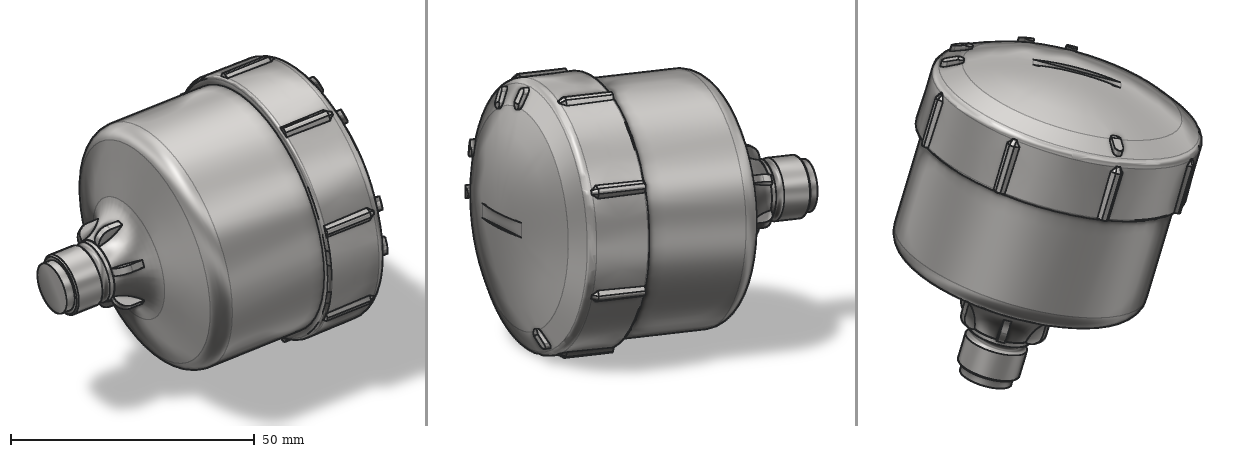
import cadquery as cq
import math

total_length = 69.75

tip_radius = 11.0 / 2
tip_length = 1.95
neck_radius = 13.2 / 2
neck_chamfer = 0.35
groove_start = 8.1
groove_end = 9.9
groove_depth = 0.8
collar_end = 10.95

body_radius = 53.9 / 2
funnel_angle = math.radians(20)
shoulder_start = 26.5
shoulder_radius = 4.0
flare_radius = 10.3

cap_radius = 57.75 / 2
cap_top_radius = 28.7
cap_bottom = 49.0
cap_bottom_fillet = 0.6
cap_wall_top = 61.2
cap_edge_fillet = 1.9
dome_radius = 46.8 / 2
cap_bevel_angle = math.radians(27.5)

slot_width = 3.1
slot_depth = 0.7

rib_count = 8
rib_bottom = 49.45
rib_shoulder = 60.1
rib_top = 61.4
rib_base_width = 2.8
rib_crest_width = 1.1
rib_crest_radius = 29.6
rib_crown = 0.15
rib_end_radius = 28.8
rib_end_width = 0.85
rib_root_radius = 27.9

fin_count = 6
fin_width = 1.6
fin_radius = 10.0
fin_top = 17.45
fin_corner_radius = 2.9
fin_root_radius = 4.9

pointer_angles = (0, 22.5, 67.5, 90, 247.5)
pointer_width = 2.1
pointer_inner_radius = 23.0
pointer_bend_radius = 24.35
pointer_outer_radius = 27.4
pointer_top = 65.75
pointer_bottom = 62.4
pointer_end_drop = 1.45


def around_axis(solid, angle):
    """Turn a solid lying along +X about the Y axis, from +X towards +Z."""
    return solid.rotate((0, 0, 0), (0, 1, 0), -angle)


def turned_body():
    sin_funnel = math.sin(funnel_angle)
    cos_funnel = math.cos(funnel_angle)

    shoulder_x = body_radius - shoulder_radius
    shoulder_mid = (math.pi / 2 - funnel_angle) / 2
    shoulder_mid_point = (
        shoulder_x + shoulder_radius * math.cos(shoulder_mid),
        shoulder_start - shoulder_radius * math.sin(shoulder_mid),
    )
    shoulder_end_point = (
        shoulder_x + shoulder_radius * sin_funnel,
        shoulder_start - shoulder_radius * cos_funnel,
    )

    flare_x = neck_radius + flare_radius
    flare_top_x = flare_x - flare_radius * sin_funnel
    flare_top_y = shoulder_end_point[1] - (shoulder_end_point[0] - flare_top_x) * math.tan(funnel_angle)
    flare_y = flare_top_y - flare_radius * cos_funnel
    flare_bottom_angle = math.asin((collar_end - flare_y) / flare_radius)
    flare_mid = (flare_bottom_angle + math.pi / 2 - funnel_angle) / 2
    flare_mid_point = (
        flare_x - flare_radius * math.cos(flare_mid),
        flare_y + flare_radius * math.sin(flare_mid),
    )
    flare_bottom_x = flare_x - flare_radius * math.cos(flare_bottom_angle)

    edge_cut = cap_bottom_fillet * (1 - math.sqrt(0.5))
    cap_bottom_mid = (cap_radius - edge_cut, cap_bottom + edge_cut)

    edge_x = cap_top_radius - cap_edge_fillet
    edge_mid = (math.pi / 2 - cap_bevel_angle) / 2
    edge_mid_point = (
        edge_x + cap_edge_fillet * math.cos(edge_mid),
        cap_wall_top + cap_edge_fillet * math.sin(edge_mid),
    )
    bevel_start = (
        edge_x + cap_edge_fillet * math.sin(cap_bevel_angle),
        cap_wall_top + cap_edge_fillet * math.cos(cap_bevel_angle),
    )
    dome_base = bevel_start[1] + (bevel_start[0] - dome_radius) * math.tan(cap_bevel_angle)

    slot_rim = slot_width / 2
    rim_height = total_length - dome_base
    dome_centre_y = (total_length + dome_base) / 2 - (dome_radius**2 - slot_rim**2) / (2 * rim_height)
    sphere_radius = math.hypot(dome_radius, dome_base - dome_centre_y)
    dome_mid_x = dome_radius / 2
    dome_mid_y = dome_centre_y + math.sqrt(sphere_radius**2 - dome_mid_x**2)
    dome_apex = dome_centre_y + sphere_radius

    groove_middle = (groove_start + groove_end) / 2
    profile = (
        cq.Workplane("XY")
        .moveTo(0, 0)
        .lineTo(tip_radius, 0)
        .lineTo(tip_radius, tip_length)
        .lineTo(neck_radius - neck_chamfer, tip_length)
        .lineTo(neck_radius, tip_length + neck_chamfer)
        .lineTo(neck_radius, groove_start)
        .threePointArc((neck_radius - groove_depth, groove_middle), (neck_radius, groove_end))
        .lineTo(neck_radius, collar_end)
        .lineTo(flare_bottom_x, collar_end)
        .threePointArc(flare_mid_point, (flare_top_x, flare_top_y))
        .lineTo(*shoulder_end_point)
        .threePointArc(shoulder_mid_point, (body_radius, shoulder_start))
        .lineTo(body_radius, cap_bottom)
        .lineTo(cap_radius - cap_bottom_fillet, cap_bottom)
        .threePointArc(cap_bottom_mid, (cap_radius, cap_bottom + cap_bottom_fillet))
        .lineTo(cap_top_radius, cap_wall_top)
        .threePointArc(edge_mid_point, bevel_start)
        .lineTo(dome_radius, dome_base)
        .threePointArc((dome_mid_x, dome_mid_y), (0, dome_apex))
        .close()
    )
    return profile.revolve(360, (0, 0), (0, 1))


def coin_slot():
    return (
        cq.Workplane("XY")
        .box(2 * dome_radius, 2 * slot_depth, slot_width)
        .translate((0, total_length, 0))
    )


def rib_section(plane, base_width, crest_width, base_radius, crest_radius):
    """Trapezoid with a crowned crest, pointing along +X."""
    half_base = base_width / 2
    half_crest = crest_width / 2
    return (
        plane.moveTo(rib_root_radius, -half_base)
        .lineTo(base_radius, -half_base)
        .lineTo(crest_radius, -half_crest)
        .threePointArc((crest_radius + rib_crown, 0), (crest_radius, half_crest))
        .lineTo(base_radius, half_base)
        .lineTo(rib_root_radius, half_base)
        .close()
    )


def grip_rib():
    full = (rib_base_width, rib_crest_width, cap_top_radius, rib_crest_radius)
    end_base_radius = (rib_root_radius + rib_end_radius) / 2
    end = (rib_crest_width, rib_end_width, end_base_radius, rib_end_radius)
    bar_plane = cq.Workplane("XZ", origin=(0, rib_bottom, 0))
    bar = rib_section(bar_plane, *full).extrude(rib_bottom - rib_shoulder)
    end_plane = cq.Workplane("XZ", origin=(0, rib_shoulder, 0))
    tapered = rib_section(end_plane, *full).workplane(offset=rib_shoulder - rib_top)
    return bar.union(rib_section(tapered, *end).loft(ruled=True))


def fin():
    corner_x = fin_radius - fin_corner_radius
    corner_y = collar_end + fin_corner_radius
    corner_reach = fin_corner_radius * math.sqrt(0.5)
    return (
        cq.Workplane("XY")
        .moveTo(fin_root_radius, collar_end)
        .lineTo(corner_x, collar_end)
        .threePointArc((corner_x + corner_reach, corner_y - corner_reach), (fin_radius, corner_y))
        .lineTo(fin_radius, fin_top)
        .lineTo(fin_root_radius, fin_top)
        .close()
        .extrude(fin_width / 2, both=True)
    )


def pointer():
    """Radial bar with a sloped top and round ends."""
    side = (
        cq.Workplane("XY")
        .moveTo(pointer_inner_radius, pointer_bottom)
        .lineTo(pointer_outer_radius, pointer_bottom)
        .lineTo(pointer_outer_radius, pointer_top - pointer_end_drop)
        .lineTo(pointer_bend_radius, pointer_top)
        .lineTo(pointer_inner_radius, pointer_top)
        .close()
        .extrude(pointer_width / 2, both=True)
    )
    pointer_length = pointer_outer_radius - pointer_inner_radius
    plan = (
        cq.Workplane("XZ")
        .center((pointer_inner_radius + pointer_outer_radius) / 2, 0)
        .slot2D(pointer_length, pointer_width)
        .extrude(-total_length)
    )
    return side.intersect(plan)


result = turned_body().cut(coin_slot())

rib_pitch = 360 / rib_count
for index in range(rib_count):
    result = result.union(around_axis(grip_rib(), (index + 0.5) * rib_pitch))

fin_pitch = 360 / fin_count
for index in range(fin_count):
    result = result.union(around_axis(fin(), (index + 0.5) * fin_pitch))

for pointer_angle in pointer_angles:
    result = result.union(around_axis(pointer(), pointer_angle))